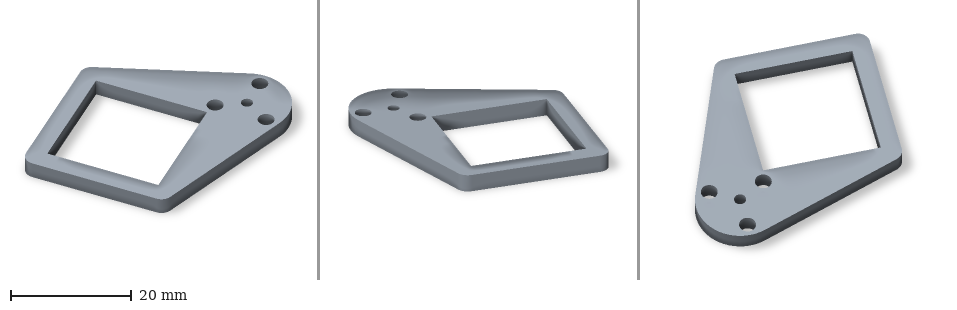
import cadquery as cq
import math

length_x = 35.95
length_y = 35.9
thickness = 3.0

lobe_radius = 7.48
corner_radius = 2.0
frame_width = 26.55
frame_height = 26.6
lobe_center = (length_x - lobe_radius, length_y - lobe_radius)
right_corner = (frame_width - corner_radius, corner_radius)
left_corner = (corner_radius, frame_height - corner_radius)

border = 3.3
window_x = 20.05
window_y = 20.25

center_hole_diameter = 2.0
outer_hole_diameter = 2.8
outer_hole_count = 3
hole_ring_radius = 5.32
first_hole_angle = 90.0


def polar(center, radius, angle):
    """Point at an angle, in radians, on a circle."""
    return (center[0] + radius * math.cos(angle), center[1] + radius * math.sin(angle))


def tangent_angle(corner, side):
    """Angle of the normal to the line touching a corner circle and the lobe.

    side is -1 for the line right of the path from corner to lobe, +1 for left.
    """
    dx = lobe_center[0] - corner[0]
    dy = lobe_center[1] - corner[1]
    spread = math.acos((corner_radius - lobe_radius) / math.hypot(dx, dy))
    return math.atan2(dy, dx) + side * spread


def make_plate():
    right_normal = tangent_angle(right_corner, -1)
    left_normal = tangent_angle(left_corner, 1)
    right_mid = (right_normal - math.pi / 2) / 2
    left_mid = (left_normal + math.pi) / 2
    lobe_mid = (right_normal + left_normal) / 2
    origin_corner = (corner_radius, corner_radius)

    return (
        cq.Workplane("XY")
        .moveTo(corner_radius, 0)
        .lineTo(right_corner[0], 0)
        .threePointArc(
            polar(right_corner, corner_radius, right_mid),
            polar(right_corner, corner_radius, right_normal),
        )
        .lineTo(*polar(lobe_center, lobe_radius, right_normal))
        .threePointArc(
            polar(lobe_center, lobe_radius, lobe_mid),
            polar(lobe_center, lobe_radius, left_normal),
        )
        .lineTo(*polar(left_corner, corner_radius, left_normal))
        .threePointArc(
            polar(left_corner, corner_radius, left_mid),
            (0, left_corner[1]),
        )
        .lineTo(0, corner_radius)
        .threePointArc(
            polar(origin_corner, corner_radius, math.radians(225)),
            (corner_radius, 0),
        )
        .close()
        .extrude(thickness)
    )


def make_window():
    window = cq.Workplane("XY").box(window_x, window_y, thickness, centered=False)
    return window.translate((border, border, 0))


def make_lobe_holes():
    center_hole = cq.Workplane("XY").circle(center_hole_diameter / 2).extrude(thickness)
    outer_holes = (
        cq.Workplane("XY")
        .polarArray(hole_ring_radius, first_hole_angle, 360, outer_hole_count)
        .circle(outer_hole_diameter / 2)
        .extrude(thickness)
    )
    return center_hole.union(outer_holes).translate((*lobe_center, 0))


result = make_plate().cut(make_window()).cut(make_lobe_holes())